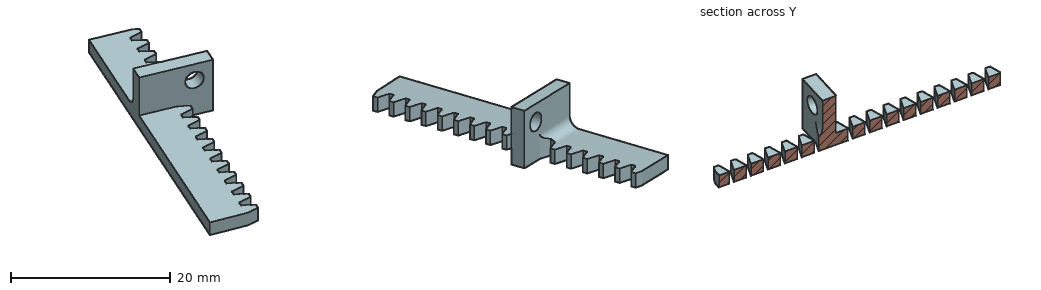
import cadquery as cq

length = 41.0
bar_thickness = 2.0
root_y = 4.95
tip_y = 6.75

tooth_count = 17
tooth_pitch = 2.465
first_tooth_x = 0.6
tip_width = 0.7
root_gap = 0.6
left_end_width = 5.9
right_end_width = 5.2
right_end_slant = 0.12

plate_x = 15.0
plate_thickness = 2.0
plate_depth = 10.0
plate_height = 8.0
fillet_radius = 1.48

hole_diameter = 2.5
hole_y = plate_depth - hole_diameter
hole_z = plate_height - hole_diameter


def rack_outline():
    """Outline of the toothed bar, from the straight back round the teeth."""
    half_tip = tip_width / 2
    half_base = (tooth_pitch - root_gap) / 2
    points = [(0, 0), (0, left_end_width)]
    for tooth in range(tooth_count):
        center = first_tooth_x + tooth * tooth_pitch
        if tooth > 0:
            points.append((center - half_base, root_y))
        points.append((center - half_tip, tip_y))
        points.append((center + half_tip, tip_y))
        if tooth < tooth_count - 1:
            points.append((center + half_base, root_y))
    points.append((length - right_end_slant, right_end_width))
    points.append((length, 0))
    return points


def toothed_prism(height):
    return cq.Workplane("XY").polyline(rack_outline()).close().extrude(height)


def fillet_strip():
    """Concave strip between the bar's top and the plate's left face."""
    top_z = bar_thickness + fillet_radius
    return (
        cq.Workplane("XZ")
        .moveTo(plate_x - fillet_radius, bar_thickness)
        .radiusArc((plate_x, top_z), -fillet_radius)
        .lineTo(plate_x, bar_thickness)
        .close()
        .extrude(-tip_y)
    )


def upright_plate():
    plate = cq.Workplane("XY").box(plate_thickness, plate_depth, plate_height, centered=False)
    hole = cq.Workplane("YZ").center(hole_y, hole_z).circle(hole_diameter / 2).extrude(plate_thickness)
    return plate.cut(hole).translate((plate_x, 0, 0))


fillet = fillet_strip().intersect(toothed_prism(plate_height))
result = toothed_prism(bar_thickness).union(fillet).union(upright_plate())